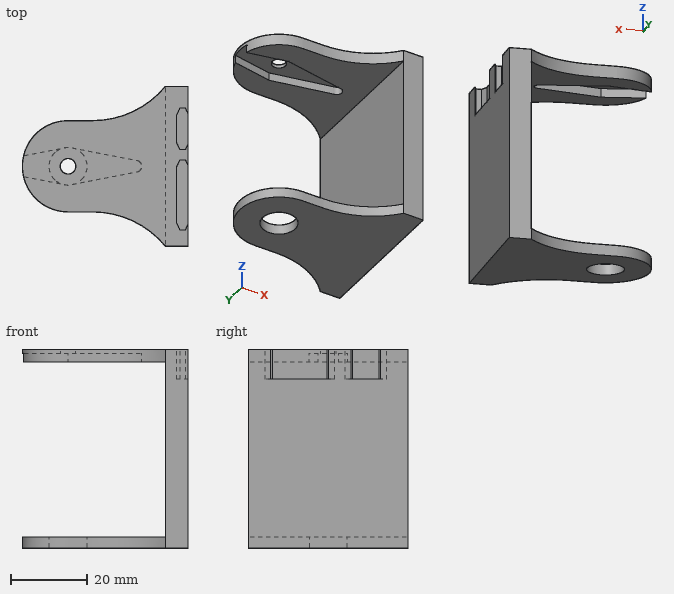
import cadquery as cq
import math

length = 43.6
width = 42.0
height = 52.25

wall_thickness = 6.0
top_thickness = 3.4
bottom_thickness = 3.0

nose_radius = 12.0
straight_length = 6.5
top_hole_diameter = 4.0
bottom_hole_diameter = 10.0

recess_depth = 2.35
recess_hub_width = 10.0
recess_tip_width = 3.15
recess_reach = 19.35

slot_half_width = 1.65
slot_end_half_flat = 0.75
slot_end_rise = 2.0
slot_axis_inset = 1.45
slot_depth = 7.85
slot_spans = [(4.4, 15.25), (-16.65, 1.65)]

back_x = length - nose_radius
wall_x = back_x - wall_thickness
half_width = width / 2
top_underside = height - top_thickness


def lug(bottom_z, thickness, hole_diameter):
    """Round-nosed plate that flares along two concave arcs to the full width."""
    flare_length = wall_x - straight_length
    flare_rise = half_width - nose_radius
    flare_radius = (flare_length**2 + flare_rise**2) / (2 * flare_rise)
    half_sweep = math.asin(flare_length / flare_radius) / 2
    middle_x = straight_length + flare_radius * math.sin(half_sweep)
    middle_y = nose_radius + flare_radius * (1 - math.cos(half_sweep))
    return (
        cq.Workplane("XY", origin=(0, 0, bottom_z))
        .moveTo(0, nose_radius)
        .lineTo(straight_length, nose_radius)
        .threePointArc((middle_x, middle_y), (wall_x, half_width))
        .lineTo(back_x, half_width)
        .lineTo(back_x, -half_width)
        .lineTo(wall_x, -half_width)
        .threePointArc((middle_x, -middle_y), (straight_length, -nose_radius))
        .lineTo(0, -nose_radius)
        .threePointArc((-nose_radius, 0), (0, nose_radius))
        .close()
        .extrude(thickness)
        .cut(cq.Workplane("XY", origin=(0, 0, bottom_z)).circle(hole_diameter / 2).extrude(thickness))
    )


def arm_recess():
    """Recess widest at the hole, with two arms tapering to rounded tips."""
    half_hub = recess_hub_width / 2
    half_tip = recess_tip_width / 2
    taper_end = recess_reach - half_tip
    return (
        cq.Workplane("XY", origin=(0, 0, top_underside))
        .moveTo(0, half_hub)
        .lineTo(taper_end, half_tip)
        .threePointArc((recess_reach, 0), (taper_end, -half_tip))
        .lineTo(0, -half_hub)
        .lineTo(-taper_end, -half_tip)
        .threePointArc((-recess_reach, 0), (-taper_end, half_tip))
        .close()
        .extrude(recess_depth)
    )


def wall_slot(start_y, end_y):
    """Slot along Y that narrows to a short flat at each end."""
    axis_x = back_x - slot_axis_inset
    outline = [
        (axis_x - slot_end_half_flat, start_y),
        (axis_x + slot_end_half_flat, start_y),
        (axis_x + slot_half_width, start_y + slot_end_rise),
        (axis_x + slot_half_width, end_y - slot_end_rise),
        (axis_x + slot_end_half_flat, end_y),
        (axis_x - slot_end_half_flat, end_y),
        (axis_x - slot_half_width, end_y - slot_end_rise),
        (axis_x - slot_half_width, start_y + slot_end_rise),
    ]
    return cq.Workplane("XY", origin=(0, 0, height)).polyline(outline).close().extrude(-slot_depth)


wall = cq.Workplane("XY").box(wall_thickness, width, height, centered=(False, True, False))
result = wall.translate((wall_x, 0, 0))
result = result.union(lug(0, bottom_thickness, bottom_hole_diameter))
result = result.union(lug(top_underside, top_thickness, top_hole_diameter))
result = result.cut(arm_recess())
for slot_start, slot_end in slot_spans:
    result = result.cut(wall_slot(slot_start, slot_end))